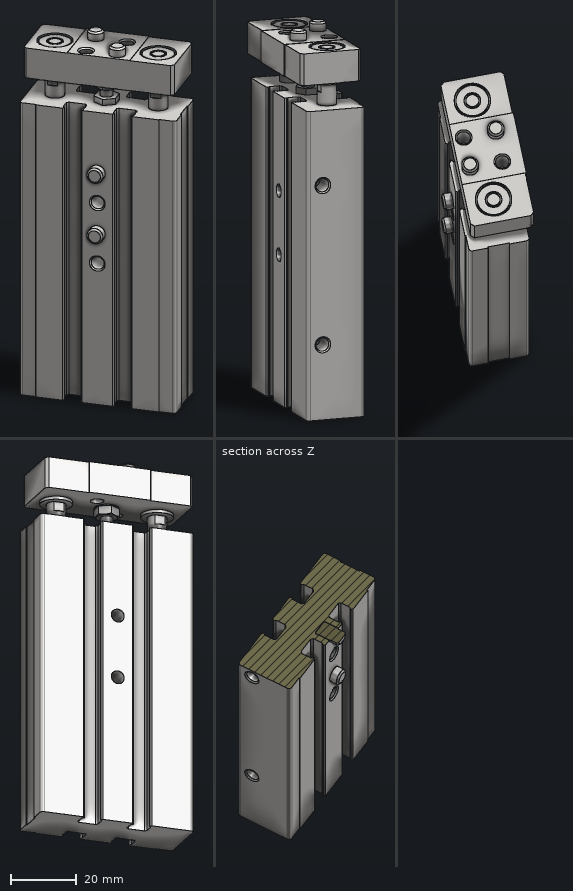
import cadquery as cq
import math

HOUSING_WIDTH = 50.0
HOUSING_DEPTH = 19.0
HOUSING_HEIGHT = 96.7
HOUSING_CORNER_RADIUS = 1.0
FACE_RELIEF = 0.29
LAND_OUTER_X = 19.6

SLOT_X = 8.0
SLOT_MOUTH_WIDTH = 5.3
SLOT_CAVITY_WIDTH = 6.5
SLOT_DEPTH = 5.0
SLOT_LIP_RADIUS = 0.5
SLOT_NECK_DEPTH = 0.7
SLOT_SHOULDER_DEPTH = 1.3
SLOT_CORNER_CHAMFER = 0.6

SIDE_GROOVE_WIDTH = 6.6
SIDE_GROOVE_DEPTH = 0.4

PIN_DIAMETER = 5.0
BORE_DIAMETER = 4.1
PIN_TIP_CHAMFER = 0.6
PIN_EXPOSED = 2.9
PIN_SEAT_DEPTH = PIN_DIAMETER
HOLE_PITCH = 10.0
FIRST_FRONT_HOLE_DROP = 20.0
PORT_HEIGHTS = (23.5, 73.3)
PORT_Y = 4.5
PORT_DEPTH = 8.0
DRILL_POINT_ANGLE = 118.0

PLATE_WIDTH = 48.0
PLATE_HEIGHT = 10.0
PLATE_FRONT_Y = -8.5
PLATE_BACK_Y = 11.5
PLATE_PAD_WIDTH = 20.0
PLATE_PAD_BACK_RISE = 0.4
PLATE_PAD_TOP_RISE = 0.06
PLATE_CORNER_CHAMFER = 1.0
PLATE_GAP = 8.0

ROD_X = 16.5
ROD_DIAMETER = 6.0
ROD_HEAD_DIAMETER = 10.0
ROD_COLLAR_HEIGHT = 1.0
ROD_FLATS_WIDTH = 5.0
ROD_FLATS_HEIGHT = 2.9
ROD_RECESS_DIAMETER = 11.0
ROD_RECESS_DEPTH = 0.7
ROD_TOP_DROP = 0.2
ROD_GROOVE_OUTER_DIAMETER = 5.0
ROD_GROOVE_INNER_DIAMETER = 4.0
ROD_GROOVE_DEPTH = 0.5

BOLT_DIAMETER = 4.0
HEX_ACROSS_CORNERS = 8.0
BOLT_HEAD_HEIGHT = 2.0
NUT_HEIGHT = 3.2
NUT_COLLAR_DIAMETER = 7.5
NUT_COLLAR_HEIGHT = 0.4
NUT_BEVEL_DIAMETER = 6.6
NUT_BEVEL_HEIGHT = 0.4

FRONT_Y = -HOUSING_DEPTH / 2
PLATE_BOTTOM_Z = HOUSING_HEIGHT + PLATE_GAP
PLATE_TOP_Z = PLATE_BOTTOM_Z + PLATE_HEIGHT
PLATE_END_TOP_Z = PLATE_TOP_Z - PLATE_PAD_TOP_RISE
ROD_TOP_Z = PLATE_END_TOP_Z - ROD_TOP_DROP

front_hole_heights = [HOUSING_HEIGHT - FIRST_FRONT_HOLE_DROP - i * HOLE_PITCH for i in range(4)]
front_pin_heights = front_hole_heights[0::2]
front_open_heights = front_hole_heights[1::2]

plate_pin_points = [(-HOLE_PITCH / 2, HOLE_PITCH / 2), (HOLE_PITCH / 2, -HOLE_PITCH / 2)]
plate_open_points = [(-HOLE_PITCH / 2, -HOLE_PITCH / 2), (HOLE_PITCH / 2, HOLE_PITCH / 2)]


def cylinder(origin, direction, diameter, length):
    return cq.Workplane(cq.Solid.makeCylinder(diameter / 2, length, cq.Vector(*origin), cq.Vector(*direction)))


def cone(origin, direction, start_diameter, end_diameter, length):
    solid = cq.Solid.makeCone(
        start_diameter / 2, end_diameter / 2, length, cq.Vector(*origin), cq.Vector(*direction)
    )
    return cq.Workplane(solid)


def chamfered_bore(mouth, direction, depth):
    """Cutter for a bore that opens into a 45 degree chamfer at its mouth."""
    chamfer = (PIN_DIAMETER - BORE_DIAMETER) / 2
    bore = cylinder(mouth, direction, BORE_DIAMETER, depth)
    return bore.union(cone(mouth, direction, PIN_DIAMETER, BORE_DIAMETER, chamfer))


def pin(seat, direction):
    """Pin that stands in its seat and ends in a chamfered tip."""
    length = PIN_SEAT_DEPTH + PIN_EXPOSED
    start = cq.Vector(*seat) - cq.Vector(*direction) * PIN_SEAT_DEPTH
    body = cylinder(start.toTuple(), direction, PIN_DIAMETER, length)
    return body.faces(cq.selectors.DirectionMinMaxSelector(cq.Vector(*direction))).chamfer(PIN_TIP_CHAMFER)


def hexagon(bottom_z, height):
    """Hexagonal prism on the Z axis with two of its corners on the Y axis."""
    prism = cq.Workplane("XY").polygon(6, HEX_ACROSS_CORNERS).extrude(height)
    return prism.rotate((0, 0, 0), (0, 0, 1), 90).translate((0, 0, bottom_z))


def sensor_slot():
    """Cutter for the slot at +X of the front face; its cavity is wider than its mouth."""
    half_mouth = SLOT_MOUTH_WIDTH / 2
    half_cavity = SLOT_CAVITY_WIDTH / 2
    half_outline = [
        (half_mouth, SLOT_LIP_RADIUS),
        (half_mouth, SLOT_NECK_DEPTH),
        (half_cavity, SLOT_SHOULDER_DEPTH),
        (half_cavity, SLOT_DEPTH - SLOT_CORNER_CHAMFER),
        (half_cavity - SLOT_CORNER_CHAMFER, SLOT_DEPTH),
    ]
    outline = half_outline + [(-x, depth) for x, depth in reversed(half_outline)]
    rim_x = half_mouth + SLOT_LIP_RADIUS
    cutter = (
        cq.Workplane("XY")
        .moveTo(rim_x, 0)
        .radiusArc((half_mouth, SLOT_LIP_RADIUS), -SLOT_LIP_RADIUS)
        .polyline(outline, includeCurrent=False)
        .radiusArc((-rim_x, 0), -SLOT_LIP_RADIUS)
        .close()
        .extrude(HOUSING_HEIGHT)
    )
    return cutter.translate((SLOT_X, FRONT_Y, 0))


def side_port(height):
    """Cutter for a blind port in the -X face, with a drill point at its end."""
    mouth = (-HOUSING_WIDTH / 2, PORT_Y, height)
    point_length = BORE_DIAMETER / 2 / math.tan(math.radians(DRILL_POINT_ANGLE / 2))
    end = (mouth[0] + PORT_DEPTH, PORT_Y, height)
    return chamfered_bore(mouth, (1, 0, 0), PORT_DEPTH).union(
        cone(end, (1, 0, 0), BORE_DIAMETER, 0, point_length)
    )


def make_housing():
    body = cq.Workplane("XY").box(HOUSING_WIDTH, HOUSING_DEPTH, HOUSING_HEIGHT, centered=(True, True, False))

    relief_width = HOUSING_WIDTH / 2 - LAND_OUTER_X
    for side in (-1, 1):
        relief = cq.Workplane("XY").box(relief_width, FACE_RELIEF, HOUSING_HEIGHT, centered=(True, False, False))
        body = body.cut(relief.translate((side * (LAND_OUTER_X + relief_width / 2), FRONT_Y, 0)))
    outer_corners = cq.selectors.BoxSelector(
        (-HOUSING_WIDTH, -HOUSING_DEPTH, 0), (-LAND_OUTER_X - 1.2, HOUSING_DEPTH, HOUSING_HEIGHT)
    ) + cq.selectors.BoxSelector(
        (LAND_OUTER_X + 1.2, -HOUSING_DEPTH, 0), (HOUSING_WIDTH, HOUSING_DEPTH, HOUSING_HEIGHT)
    )
    body = body.edges("|Z").edges(outer_corners).fillet(HOUSING_CORNER_RADIUS)

    front_slot = sensor_slot()
    for slot in (front_slot, front_slot.mirror("XZ")):
        body = body.cut(slot).cut(slot.mirror("YZ"))

    groove = cq.Workplane("XY").box(
        SIDE_GROOVE_DEPTH, SIDE_GROOVE_WIDTH, HOUSING_HEIGHT, centered=(True, True, False)
    )
    body = body.cut(groove.translate(((HOUSING_WIDTH - SIDE_GROOVE_DEPTH) / 2, 0, 0)))

    for height in front_open_heights:
        body = body.cut(chamfered_bore((0, FRONT_Y, height), (0, 1, 0), HOUSING_DEPTH))
    for height in front_pin_heights:
        body = body.cut(cylinder((0, FRONT_Y, height), (0, 1, 0), PIN_DIAMETER, PIN_SEAT_DEPTH))
    for height in PORT_HEIGHTS:
        body = body.cut(side_port(height))
    return body


def make_rod(x):
    """Rod with wrench flats below a collar whose head fills the plate's hole."""
    collar_z = PLATE_BOTTOM_Z - ROD_COLLAR_HEIGHT
    shank = cylinder((x, 0, HOUSING_HEIGHT), (0, 0, 1), ROD_DIAMETER, collar_z - HOUSING_HEIGHT)
    flat_depth = (ROD_DIAMETER - ROD_FLATS_WIDTH) / 2
    for side in (-1, 1):
        flat = cq.Workplane("XY").box(ROD_DIAMETER, flat_depth, ROD_FLATS_HEIGHT)
        y = side * (ROD_FLATS_WIDTH + flat_depth) / 2
        shank = shank.cut(flat.translate((x, y, collar_z - ROD_FLATS_HEIGHT / 2)))

    head = cylinder((x, 0, collar_z), (0, 0, 1), ROD_HEAD_DIAMETER, ROD_TOP_Z - collar_z)
    groove = cylinder((x, 0, ROD_TOP_Z), (0, 0, -1), ROD_GROOVE_OUTER_DIAMETER, ROD_GROOVE_DEPTH).cut(
        cylinder((x, 0, ROD_TOP_Z), (0, 0, -1), ROD_GROOVE_INNER_DIAMETER, ROD_GROOVE_DEPTH)
    )
    return shank.union(head).cut(groove)


def make_nut():
    """Lock nut with a round collar against the plate and bevelled lower corners."""
    bottom_z = PLATE_BOTTOM_Z - NUT_HEIGHT
    hex_height = NUT_HEIGHT - NUT_COLLAR_HEIGHT
    bevel_z = bottom_z + NUT_BEVEL_HEIGHT
    bevel = cone((0, 0, bottom_z), (0, 0, 1), NUT_BEVEL_DIAMETER, HEX_ACROSS_CORNERS, NUT_BEVEL_HEIGHT)
    barrel = cylinder((0, 0, bevel_z), (0, 0, 1), HEX_ACROSS_CORNERS, hex_height - NUT_BEVEL_HEIGHT)
    collar = cylinder((0, 0, bottom_z + hex_height), (0, 0, 1), NUT_COLLAR_DIAMETER, NUT_COLLAR_HEIGHT)
    return hexagon(bottom_z, hex_height).intersect(barrel.union(bevel)).union(collar)


def make_stop_bolt():
    """Bolt under the plate: head on the housing, shank, and a lock nut against the plate."""
    head = hexagon(HOUSING_HEIGHT, BOLT_HEAD_HEIGHT)
    shank = cylinder((0, 0, HOUSING_HEIGHT), (0, 0, 1), BOLT_DIAMETER, PLATE_GAP)
    return head.union(shank).union(make_nut())


def make_plate():
    end_back_y = PLATE_BACK_Y - PLATE_PAD_BACK_RISE
    end_depth = end_back_y - PLATE_FRONT_Y
    body = (
        cq.Workplane("XY")
        .box(PLATE_WIDTH, end_depth, PLATE_HEIGHT - PLATE_PAD_TOP_RISE, centered=(True, False, False))
        .edges("|Z")
        .chamfer(PLATE_CORNER_CHAMFER)
    )
    pad = cq.Workplane("XY").box(
        PLATE_PAD_WIDTH, PLATE_BACK_Y - PLATE_FRONT_Y, PLATE_HEIGHT, centered=(True, False, False)
    )
    body = body.union(pad).translate((0, PLATE_FRONT_Y, PLATE_BOTTOM_Z))

    for side in (-1, 1):
        x = side * ROD_X
        body = body.cut(cylinder((x, 0, PLATE_BOTTOM_Z), (0, 0, 1), ROD_HEAD_DIAMETER, PLATE_HEIGHT))
        body = body.cut(cylinder((x, 0, PLATE_END_TOP_Z), (0, 0, -1), ROD_RECESS_DIAMETER, ROD_RECESS_DEPTH))
    for x, y in plate_open_points:
        body = body.cut(chamfered_bore((x, y, PLATE_TOP_Z), (0, 0, -1), PLATE_HEIGHT))
    for x, y in plate_pin_points:
        body = body.cut(cylinder((x, y, PLATE_TOP_Z), (0, 0, -1), PIN_DIAMETER, PIN_SEAT_DEPTH))
    return body.union(make_stop_bolt())


housing = make_housing()
plate = make_plate()
rods = [make_rod(side * ROD_X) for side in (-1, 1)]
front_pins = [pin((0, FRONT_Y, height), (0, -1, 0)) for height in front_pin_heights]
plate_pins = [pin((x, y, PLATE_TOP_Z), (0, 0, 1)) for x, y in plate_pin_points]

bodies = [housing, plate, *rods, *front_pins, *plate_pins]
result = cq.Compound.makeCompound([body.val() for body in bodies])